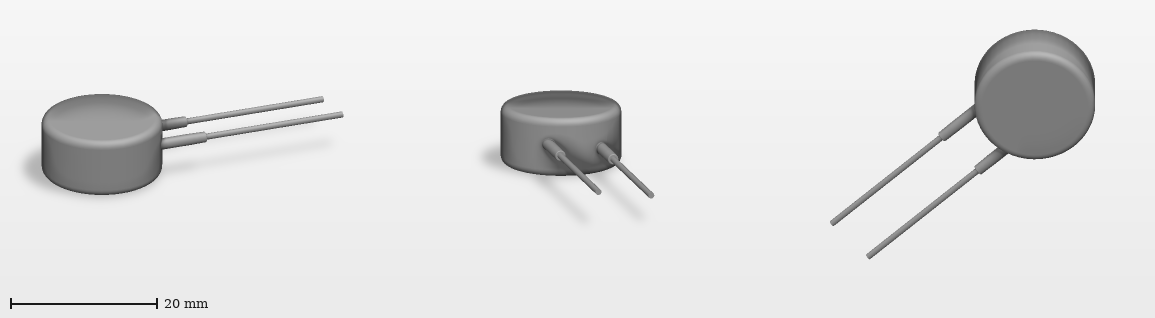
import cadquery as cq

total_length = 42.0
body_diameter = 16.5
body_height = 8.2
body_edge_radius = 1.0

lead_spacing = 7.48
lead_stagger = 1.0
wire_diameter = 0.85
wire_exposed_length = 20.05

sleeve_diameter = 1.55
sleeve_tip_diameter = 1.45
sleeve_taper_length = 2.2
sleeve_tip_radius = 0.13
sleeve_root_radius = 0.13

body_radius = body_diameter / 2
wire_end_y = total_length - body_radius
sleeve_end_y = wire_end_y - wire_exposed_length
taper_start_y = sleeve_end_y - sleeve_taper_length


def make_body():
    """Disc centred on the origin with both rims rounded."""
    disc = cq.Workplane("XY").circle(body_radius).extrude(body_height).translate((0, 0, -body_height / 2))
    return disc.faces("|Z").edges().fillet(body_edge_radius)


def make_lead(x, z):
    """Wire and sleeve along +Y, starting inside the body at y = 0."""
    sleeve = (
        cq.Workplane("XY")
        .lineTo(sleeve_diameter / 2, 0)
        .lineTo(sleeve_diameter / 2, taper_start_y)
        .lineTo(sleeve_tip_diameter / 2, sleeve_end_y)
        .lineTo(0, sleeve_end_y)
        .close()
        .revolve(360, (0, 0, 0), (0, 1, 0))
        .faces(">Y")
        .edges()
        .fillet(sleeve_tip_radius)
    )
    wire = cq.Workplane("XZ").circle(wire_diameter / 2).extrude(-wire_end_y)
    return sleeve.union(wire).translate((x, 0, z))


def round_sleeve_roots(part):
    """Fillet the curves where the sleeves leave the body wall."""
    search_half_width = lead_spacing / 2 + sleeve_diameter
    search_half_height = lead_stagger / 2 + sleeve_diameter
    roots = cq.selectors.BoxSelector(
        (-search_half_width, body_radius / 2, -search_half_height),
        (search_half_width, body_radius, search_half_height),
    )
    return part.edges(roots).fillet(sleeve_root_radius)


result = make_body()
for side in (-1, 1):
    lead = make_lead(side * lead_spacing / 2, side * lead_stagger / 2)
    result = result.union(lead)
result = round_sleeve_roots(result)